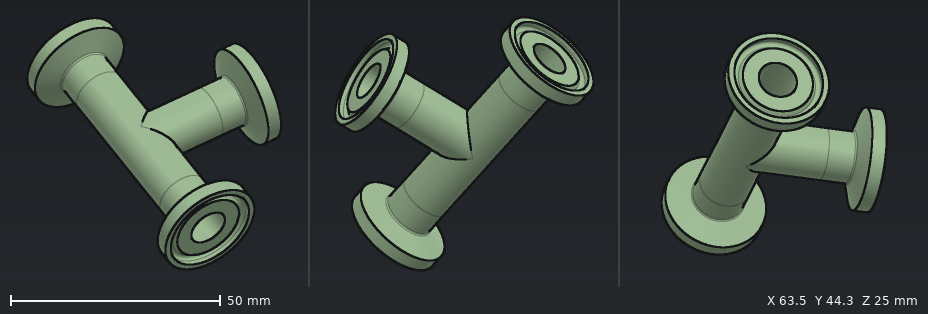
import cadquery as cq


run_length = 63.5
reach = run_length / 2
tube_radius = 12.7 / 2
bore_radius = 9.4 / 2

ferrule_length = 12.65
flange_radius = 25.0 / 2
rim_thickness = 3.6
cone_depth = 5.9
neck_fillet = 0.45

groove_outer_radius = 21.9 / 2
groove_inner_radius = 19.05 / 2
land_radius = 17.35 / 2
land_depth = 0.8
groove_wall_depth = 1.35
groove_slope_depth = 1.85


def make_tee_body():
    """Solid tubes of the run and the branch, up to the weld seams."""
    tube_reach = reach - ferrule_length
    run = cq.Workplane("YZ").circle(tube_radius).extrude(tube_reach, both=True)
    branch = cq.Workplane("XZ").circle(tube_radius).extrude(-tube_reach)
    return run.union(branch)


def make_ferrule():
    """Ferrule turned about X, with its rim face at X = -reach."""
    turning_axis = ((0, 0), (1, 0))
    blank = (
        cq.Workplane("XY")
        .polyline([
            (0, 0),
            (0, flange_radius),
            (rim_thickness, flange_radius),
            (cone_depth, tube_radius),
            (ferrule_length, tube_radius),
            (ferrule_length, 0),
        ])
        .close()
        .revolve(360, *turning_axis)
    )
    neck = cq.selectors.BoxSelector(
        (cone_depth - neck_fillet, -flange_radius, -flange_radius),
        (cone_depth + neck_fillet, flange_radius, flange_radius),
    )
    blank = blank.edges(neck).edges("%CIRCLE").fillet(neck_fillet)
    recess = (
        cq.Workplane("XY")
        .moveTo(0, groove_outer_radius)
        .lineTo(groove_wall_depth, groove_outer_radius)
        .tangentArcPoint((groove_slope_depth, groove_inner_radius), relative=False)
        .lineTo(land_depth, land_radius)
        .lineTo(land_depth, 0)
        .lineTo(0, 0)
        .close()
        .revolve(360, *turning_axis)
    )
    return blank.cut(recess).translate((-reach, 0, 0))


def cut_bores(part):
    """Bore the run right through and the branch down to the run."""
    run_bore = cq.Workplane("YZ").circle(bore_radius).extrude(reach, both=True)
    branch_bore = cq.Workplane("XZ").circle(bore_radius).extrude(-reach)
    return part.cut(run_bore.union(branch_bore), clean=False)


tee = make_tee_body()
ferrule = make_ferrule()
for turn in (0, -90, -180):
    tee = tee.union(ferrule.rotate((0, 0, 0), (0, 0, 1), turn), clean=False)

result = cut_bores(tee)